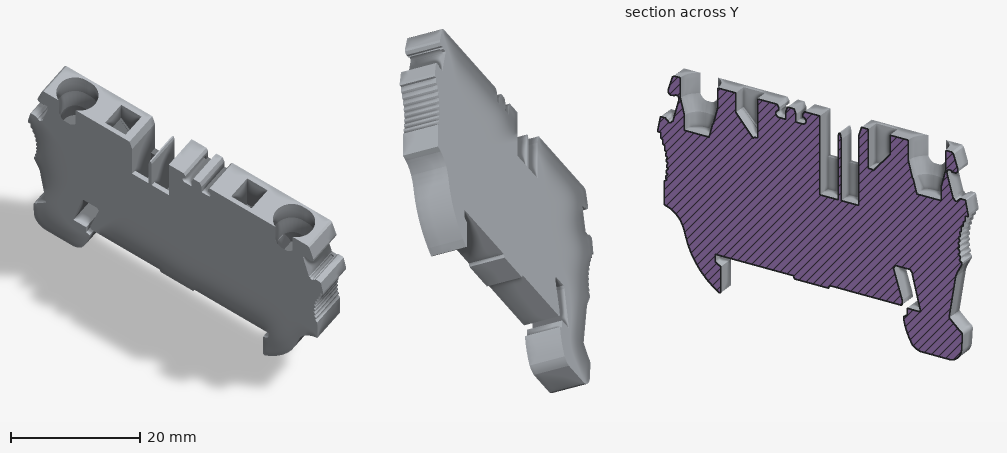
import cadquery as cq
import math

LENGTH = 56.25
THICKNESS = 6.0
HEIGHT = 36.0
HALF_LENGTH = LENGTH / 2
BACK = THICKNESS / 2

RIB_COUNT = 9
RIB_PITCH = 0.95
RIB_DEPTH = 0.3
RIB_LAND = 0.35
RIB_ROOT_DROP = 0.2
RIB_TOP_Z = 24.65
GRIP_STEP_Z = 25.55
GRIP_RADIUS = 10.45
GRIP_WAIST_X = 26.55
GRIP_WAIST_Z = 19.95

NOTCH_TOP_Z = 32.3
NOTCH_FLOOR_Z = 28.05
NOTCH_GROOVES = [(24.75, NOTCH_TOP_Z, 0.45), (25.9, NOTCH_FLOOR_Z, 0.35)]

SLOT_LEFT_X = -8.25
SLOT_RIGHT_X = -1.3
SLOT_FLOOR_Z = 28.0
SLOT_LEAD_WIDTH = 0.5
SLOT_LEAD_DEPTH = 1.5
BLADE_LEFT_X = -5.2
BLADE_RIGHT_X = -4.55
BLADE_TIP_LEFT_X = -4.95
BLADE_TIP_RIGHT_X = -4.7
BLADE_TIP_Z = 33.95
BLADE_LEFT_SHOULDER_Z = 32.95
BLADE_RIGHT_SHOULDER_Z = 33.45

LABEL_X = 4.0
LABEL_FLOOR_Z = 33.8
LABEL_OUTER = 2.15
LABEL_INNER = 0.95
LABEL_LEAD = 0.35
LABEL_LEAD_DEPTH = 0.5
LABEL_POST_LEAD_DEPTH = 0.85
LABEL_GROOVE_RADIUS = 0.55

BACK_SKIN = 0.5

CAVITY_WIDTH = 4.2
CAVITY_Y = -0.15
SLOT_CAVITY_DEPTH = 5.6

RELEASE_INNER_X = 10.05
RELEASE_OUTER_X = 13.95
RELEASE_LEDGE = 0.7
RELEASE_WALL_DEPTH = 3.4
RELEASE_RAMP_DROP = 3.4
RELEASE_TRACK_WIDTH = 3.55
RELEASE_TRACK_EXTRA_DROP = 0.35

WIRE_X = 20.65
WIRE_Y = -0.35
WIRE_RADIUS = 2.9
WIRE_CENTRES = 0.85
WIRE_STRAIGHT_DEPTH = 3.55
WIRE_TAPER_DEPTH = 2.8
WIRE_TAPER_INSET = 0.75
WIRE_TUNNEL_DEPTH = 2.55
WIRE_TUNNEL_TOP_X = 2.5
WIRE_TUNNEL_FLOOR_X = 1.8

BASE_Z = 7.1
PAD_DROP = 0.5


def grip_x(z):
    """Distance of the grip arc from the middle of the head at height z."""
    drop = math.sqrt(GRIP_RADIUS**2 - (z - GRIP_WAIST_Z) ** 2)
    return GRIP_WAIST_X + GRIP_RADIUS - drop


def head_end():
    """Right end of the head, from the top shoulder down to the last grip rib."""
    points = [
        (25.15, HEIGHT), (25.5, 35.7), (26.25, 33.3), (26.25, 32.85), (25.8, 32.45), (25.25, 32.55),
        (25.15, NOTCH_TOP_Z), (24.35, NOTCH_TOP_Z), (24.35, 31.95),
        (25.4, NOTCH_FLOOR_Z), (26.45, NOTCH_FLOOR_Z),
        (26.7, 28.35), (27.5, 28.35), (27.65, 28.25),
        (HALF_LENGTH, 26.0), (HALF_LENGTH, GRIP_STEP_Z), (grip_x(RIB_TOP_Z), GRIP_STEP_Z),
    ]
    for rib in range(RIB_COUNT):
        tip_z = RIB_TOP_Z - rib * RIB_PITCH
        if rib > 0:
            points.append((grip_x(tip_z), tip_z + RIB_LAND))
        points.append((grip_x(tip_z), tip_z))
        if rib < RIB_COUNT - 1:
            root_z = tip_z - RIB_ROOT_DROP
            points.append((grip_x(root_z) - RIB_DEPTH, root_z))
    return points


def mirrored(points):
    """Same outline on the other end, in reverse order."""
    return [(-x, z) for x, z in reversed(points)]


def body():
    """Solid plate with the full side profile."""
    right_end = head_end()
    left_end = mirrored(right_end)
    outline = (
        cq.Workplane("XZ", origin=(0, BACK, 0))
        .moveTo(*left_end[-1])
        .polyline(right_end, includeCurrent=True)
        .lineTo(27.0, 16.05)
        .lineTo(27.0, 13.3)
        .lineTo(26.0, 12.95)
        .threePointArc((24.9, 12.25), (24.05, 11.35))
        .threePointArc((23.5, 10.25), (23.15, 9.1))
        .threePointArc((21.35, 4.9), (18.1, 1.4))
        .lineTo(17.0, 0.6)
        .lineTo(16.65, 0.8)
        .lineTo(16.65, 5.3)
        .lineTo(17.4, 5.6)
        .threePointArc((17.6, 5.85), (17.65, 6.15))
        .lineTo(17.65, BASE_Z)
        .lineTo(3.6, BASE_Z)
        .lineTo(3.4, BASE_Z - PAD_DROP)
        .lineTo(-2.8, BASE_Z - PAD_DROP)
        .lineTo(-3.05, BASE_Z)
        .lineTo(-16.0, BASE_Z)
        .lineTo(-16.25, 7.35)
        .lineTo(-16.2, 8.05)
        .lineTo(-14.6, 13.15)
        .lineTo(-14.9, 13.65)
        .lineTo(-17.55, 13.65)
        .lineTo(-17.9, 13.3)
        .lineTo(-19.45, 6.9)
        .lineTo(-17.05, 6.9)
        .lineTo(-17.05, 5.6)
        .lineTo(-16.35, 5.35)
        .lineTo(-16.35, 4.95)
        .threePointArc((-16.95, 2.85), (-17.95, 0.85))
        .threePointArc((-18.6, 0.35), (-19.45, 0))
        .lineTo(-24.95, 0)
        .threePointArc((-26.4, 0.85), (-26.95, 2.15))
        .lineTo(-27.1, 4.65)
        .threePointArc((-27.0, 5.2), (-26.6, 5.5))
        .lineTo(-26.2, 5.85)
        .lineTo(-24.7, 7.25)
        .lineTo(-25.85, 14.6)
        .lineTo(-26.15, 15.4)
        .polyline(left_end, includeCurrent=True)
        .close()
    )
    return outline.extrude(THICKNESS)


def through_cut(points):
    """Prism through the whole thickness."""
    return cq.Workplane("XZ", origin=(0, BACK, 0)).polyline(points).close().extrude(THICKNESS)


def undercut(x, z, radius):
    """Round groove running from the front face up to the back skin."""
    length = THICKNESS - BACK_SKIN
    return cq.Workplane("XZ", origin=(x, BACK - BACK_SKIN, z)).circle(radius).extrude(length)


def cavity_prism(points, width):
    """Prism across the shared cavity band in Y."""
    return cq.Workplane("XZ", origin=(0, CAVITY_Y + width / 2, 0)).polyline(points).close().extrude(width)


def test_slots():
    """Two deep slots either side of the blade, each with a hidden cavity in its floor."""
    cut = through_cut([
        (SLOT_LEFT_X - SLOT_LEAD_WIDTH, HEIGHT),
        (SLOT_LEFT_X, HEIGHT - SLOT_LEAD_DEPTH),
        (SLOT_LEFT_X, SLOT_FLOOR_Z),
        (BLADE_LEFT_X, SLOT_FLOOR_Z),
        (BLADE_LEFT_X, BLADE_LEFT_SHOULDER_Z),
        (BLADE_TIP_LEFT_X, BLADE_TIP_Z),
        (BLADE_TIP_RIGHT_X, BLADE_TIP_Z),
        (BLADE_RIGHT_X, BLADE_RIGHT_SHOULDER_Z),
        (BLADE_RIGHT_X, SLOT_FLOOR_Z),
        (SLOT_RIGHT_X, SLOT_FLOOR_Z),
        (SLOT_RIGHT_X, HEIGHT),
    ])
    bottom = SLOT_FLOOR_Z - SLOT_CAVITY_DEPTH
    for left, right in [(SLOT_LEFT_X, BLADE_LEFT_X), (BLADE_RIGHT_X, SLOT_RIGHT_X)]:
        corners = [(left, SLOT_FLOOR_Z), (right, SLOT_FLOOR_Z), (right, bottom), (left, bottom)]
        cut = cut.union(cavity_prism(corners, CAVITY_WIDTH))
    return cut


def label_slot(side):
    """Label slot on one side (-1 or 1) of the post, with a groove under its outer lip."""
    offsets = [
        (LABEL_INNER - LABEL_LEAD, HEIGHT),
        (LABEL_INNER, HEIGHT - LABEL_POST_LEAD_DEPTH),
        (LABEL_INNER, LABEL_FLOOR_Z),
        (LABEL_OUTER, LABEL_FLOOR_Z),
        (LABEL_OUTER, HEIGHT - LABEL_LEAD_DEPTH),
        (LABEL_OUTER + LABEL_LEAD, HEIGHT),
    ]
    slot = through_cut([(LABEL_X + side * offset, z) for offset, z in offsets])
    groove = undercut(LABEL_X + side * LABEL_OUTER, LABEL_FLOOR_Z + LABEL_GROOVE_RADIUS, LABEL_GROOVE_RADIUS)
    return slot.union(groove)


def release_opening(side):
    """Rectangular opening whose floor ramps down toward the middle of the part."""
    ledge_x = RELEASE_INNER_X + RELEASE_LEDGE
    ramp_top = HEIGHT - RELEASE_WALL_DEPTH
    ramp_bottom = ramp_top - RELEASE_RAMP_DROP
    track_bottom = ramp_bottom - RELEASE_TRACK_EXTRA_DROP
    opening = [
        (RELEASE_INNER_X, HEIGHT), (RELEASE_OUTER_X, HEIGHT), (RELEASE_OUTER_X, ramp_top),
        (ledge_x, ramp_bottom), (RELEASE_INNER_X, ramp_bottom),
    ]
    track = [(RELEASE_OUTER_X, ramp_top), (ledge_x, track_bottom), (ledge_x, ramp_bottom)]
    cut = cavity_prism([(side * x, z) for x, z in opening], CAVITY_WIDTH)
    return cut.union(cavity_prism([(side * x, z) for x, z in track], RELEASE_TRACK_WIDTH))


def oblong(x, z, radius):
    """Oblong sketch on a horizontal plane at height z."""
    plane = cq.Workplane("XY", origin=(x, WIRE_Y, z))
    return plane.slot2D(WIRE_CENTRES + 2 * radius, 2 * radius)


def wire_entry(side):
    """Straight oblong bore, a tapered funnel and a tunnel with a slanted inner wall."""
    x = side * WIRE_X
    taper_z = HEIGHT - WIRE_STRAIGHT_DEPTH
    tunnel_z = taper_z - WIRE_TAPER_DEPTH
    floor_z = tunnel_z - WIRE_TUNNEL_DEPTH
    taper_angle = math.degrees(math.atan2(WIRE_TAPER_INSET, WIRE_TAPER_DEPTH))
    floor_radius = WIRE_RADIUS - WIRE_TAPER_INSET

    bore = oblong(x, HEIGHT, WIRE_RADIUS).extrude(-WIRE_STRAIGHT_DEPTH)
    funnel = oblong(x, taper_z, WIRE_RADIUS).extrude(-WIRE_TAPER_DEPTH, taper=taper_angle)
    tunnel = oblong(x, tunnel_z, floor_radius).extrude(-WIRE_TUNNEL_DEPTH)
    wall_far_x = x - side * 2 * WIRE_RADIUS
    wall = through_cut([
        (wall_far_x, tunnel_z),
        (x - side * WIRE_TUNNEL_TOP_X, tunnel_z),
        (x - side * WIRE_TUNNEL_FLOOR_X, floor_z),
        (wall_far_x, floor_z),
    ])
    return bore.union(funnel).union(tunnel.cut(wall))


result = body().cut(test_slots())
for side in (-1, 1):
    result = result.cut(label_slot(side))
    result = result.cut(release_opening(side))
    result = result.cut(wire_entry(side))
    for groove_x, groove_z, groove_radius in NOTCH_GROOVES:
        result = result.cut(undercut(side * groove_x, groove_z, groove_radius))